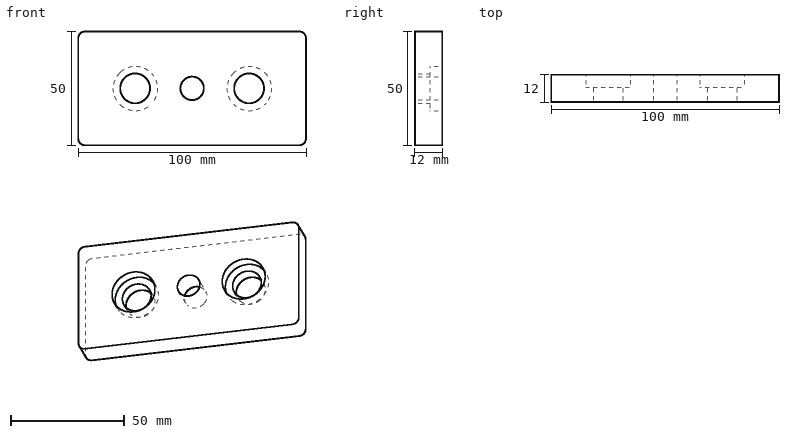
import cadquery as cq

length = 100
thickness = 12
height = 50
corner_radius = 3

center_hole_diameter = 10.2
outer_hole_diameter = 13
outer_hole_spacing = length / 2

counterbore_diameter = 19.5
counterbore_depth = 5.5

plate = cq.Workplane("XY").box(length, thickness, height).edges("|Y").fillet(corner_radius)

plate = plate.faces(">Y").workplane(centerOption="CenterOfBoundBox").hole(center_hole_diameter)

result = (
    plate.faces(">Y")
    .workplane(centerOption="CenterOfBoundBox")
    .pushPoints([(-outer_hole_spacing / 2, 0), (outer_hole_spacing / 2, 0)])
    .cboreHole(outer_hole_diameter, counterbore_diameter, counterbore_depth)
)